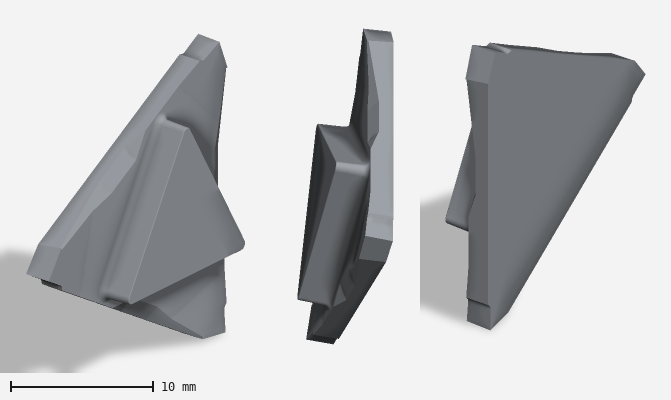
import cadquery as cq
import math

CORNERS = 3
STEP = 360 / CORNERS

plate_length = 22.6
side_distance = 7.12
side_end = 9.38
notch_start = 8.88
notch_end = 9.18
notch_step = 0.3
notch_radius = 0.45
tip_offset = side_distance - notch_step
tip_reach = (plate_length - tip_offset * math.sin(math.radians(STEP))) / (1 - math.cos(math.radians(STEP)))
end_relief = 0.102

plate_height = 1.65
tip_height = 2.0

ramp_angle = -73.4
ramp_start = 8.14

dip_start = 2.12
dip_floor_start = 0.23
dip_floor_end = -2.98
dip_end = -9.1
dip_height = 1.06
dip_end_height = 1.8
dip_depth = 1.13

total_height = 4.0
boss_inradius = 4.05
boss_corner_radius = 0.52
boss_taper = 2.5
foot_fillet = 0.45
rim_fillet = 0.07

clearance = 2.71


def turned(point, angle):
    """Turn a (y, z) point about the X axis."""
    y, z = point
    c = math.cos(math.radians(angle))
    s = math.sin(math.radians(angle))
    return (y * c - z * s, y * s + z * c)


def around(solid):
    """Copies of a solid at all three corners."""
    return [solid.rotate((0, 0, 0), (1, 0, 0), i * STEP) for i in range(CORNERS)]


def outline(relief):
    """Plate outline with the corner end faces moved inward by relief."""
    tip = (tip_offset, -tip_reach)
    end = turned((side_distance, side_end), -STEP)
    face_angle = math.atan2(end[1] - tip[1], tip[0] - end[0])
    tip_slide = relief / math.cos(face_angle)
    end_slide = relief / math.sin(math.radians(STEP / 4) - face_angle)
    corner = [
        (side_distance, side_end - end_slide),
        (side_distance, -notch_start),
        (tip[0], -notch_end),
        (tip[0], tip[1] + tip_slide),
    ]
    return [turned(p, -i * STEP) for i in range(CORNERS) for p in corner]


def make_plate():
    plate = (
        cq.Workplane("YZ").polyline(outline(0)).close()
        .workplane(offset=tip_height).polyline(outline(end_relief)).close()
        .loft(ruled=True)
    )
    for i in range(CORNERS):
        y, z = turned((tip_offset, -notch_end), i * STEP)
        notch_edge = cq.selectors.NearestToPointSelector((tip_height / 2, y, z))
        plate = plate.edges(notch_edge).fillet(notch_radius)
    waste = cq.Workplane("YZ", origin=(plate_height, 0, 0)).circle(2 * tip_reach).extrude(clearance)
    c = math.cos(math.radians(ramp_angle))
    s = math.sin(math.radians(ramp_angle))
    tip_along = tip_offset * c - tip_reach * s
    ramp_plane = cq.Plane(origin=(0, 0, 0), xDir=(0, c, s), normal=(0, s, -c))
    ramp = (
        cq.Workplane(ramp_plane)
        .polyline([(ramp_start, plate_height), (tip_along, tip_height), (tip_along, plate_height)])
        .close().extrude(tip_reach, both=True)
    )
    for piece in around(ramp):
        waste = waste.cut(piece)
    return plate.cut(waste)


def add_boss(plate):
    """Join the tapered triangular boss and round its foot and rim."""
    core_corner = (0, 2 * (boss_inradius - boss_corner_radius))
    boss = (
        cq.Workplane("YZ", origin=(plate_height, 0, 0))
        .polyline([turned(core_corner, i * STEP) for i in range(CORNERS)])
        .close().offset2D(boss_corner_radius)
        .extrude(total_height - plate_height, taper=boss_taper)
        .faces(">X").edges().fillet(rim_fillet)
    )
    inside = side_distance - rim_fillet
    boss_reach = 2 * boss_inradius
    foot = cq.selectors.BoxSelector(
        (plate_height - rim_fillet, -inside, -boss_reach),
        (plate_height + rim_fillet, inside, boss_reach),
        boundingbox=True,
    )
    return plate.union(boss).edges(foot).fillet(foot_fillet)


def make_dip():
    """Sloping-floored cutter, deepest at the side edge and rising inward."""
    def section(rise):
        top = plate_height + clearance
        return [
            (-dip_start, top),
            (-dip_start, plate_height + rise),
            (-dip_floor_start, dip_height + rise),
            (-dip_floor_end, dip_height + rise),
            (-dip_end, dip_end_height + rise),
            (-dip_end, top),
        ]

    def wire(y, rise):
        return cq.Wire.makePolygon([cq.Vector(x, y, z) for z, x in section(rise)], close=True)

    inner = wire(side_distance - dip_depth, plate_height - dip_height)
    return cq.Workplane(cq.Solid.makeLoft([wire(side_distance, 0), inner], True))


result = add_boss(make_plate())
for dip in around(make_dip()):
    result = result.cut(dip)